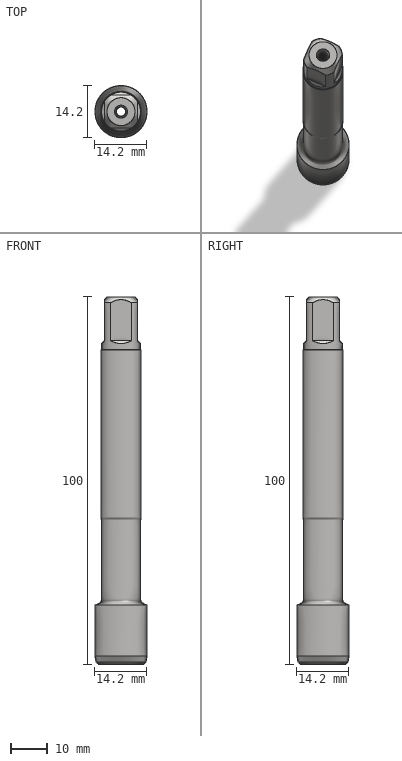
import cadquery as cq
import math

total_length = 100.0
head_diameter = 14.2

tip_height = 2.3
tip_shoulder_height = 0.7
tip_shoulder_diameter = 13.6
tip_end_diameter = 12.2
tip_bore_diameter = 2.5

shank_bore_diameter = 3.5
neck_diameter = 10.7
guide_diameter = 11.0
drive_diameter = 10.6
head_top = 16.1
head_slope_angle = math.radians(25)
neck_fillet = 1.0
guide_bottom = 39.3
guide_bottom_taper = 0.6
guide_top = 85.7
guide_top_chamfer = (guide_diameter - drive_diameter) / 2

square_width = 9.0
square_bottom = 88.1
drive_end_diameter = 7.6
drive_chamfer_height = 1.6

head_radius = head_diameter / 2
neck_radius = neck_diameter / 2
guide_radius = guide_diameter / 2
drive_radius = drive_diameter / 2


def fillet_point(angle, center_z):
    """Point of the neck fillet, at an angle above its horizontal inward radius (negative is below)."""
    return (
        neck_radius + neck_fillet - neck_fillet * math.cos(angle),
        center_z + neck_fillet * math.sin(angle),
    )


def make_turned_shank():
    fillet_sweep = math.pi / 2 - head_slope_angle
    fillet_end_radius = neck_radius + neck_fillet * (1 - math.cos(fillet_sweep))
    fillet_end_z = head_top + (head_radius - fillet_end_radius) * math.tan(head_slope_angle)
    fillet_start_z = fillet_end_z + neck_fillet * math.sin(fillet_sweep)
    return (
        cq.Workplane("XZ")
        .moveTo(0, tip_height)
        .lineTo(head_radius, tip_height)
        .lineTo(head_radius, head_top)
        .lineTo(fillet_end_radius, fillet_end_z)
        .threePointArc(fillet_point(-fillet_sweep / 2, fillet_start_z), (neck_radius, fillet_start_z))
        .lineTo(neck_radius, guide_bottom)
        .lineTo(guide_radius, guide_bottom + guide_bottom_taper)
        .lineTo(guide_radius, guide_top - guide_top_chamfer)
        .lineTo(drive_radius, guide_top)
        .lineTo(drive_radius, total_length - drive_chamfer_height)
        .lineTo(drive_end_diameter / 2, total_length)
        .lineTo(0, total_length)
        .close()
        .revolve(360, (0, 0), (0, 1))
    )


def cut_square_drive(body):
    flat_depth = drive_radius - square_width / 2
    flat_cutter = (
        cq.Workplane("XZ")
        .moveTo(square_width / 2, total_length)
        .lineTo(square_width / 2, square_bottom)
        .lineTo(drive_radius, square_bottom - flat_depth)
        .lineTo(drive_radius, total_length)
        .close()
        .extrude(drive_radius, both=True)
    )
    for side in range(4):
        body = body.cut(flat_cutter.rotate((0, 0, 0), (0, 0, 1), side * 90))
    return body


def make_shank():
    body = cut_square_drive(make_turned_shank())
    bore = cq.Workplane("XY").circle(shank_bore_diameter / 2).extrude(total_length)
    return body.cut(bore)


def make_tip():
    return (
        cq.Workplane("XZ")
        .moveTo(tip_bore_diameter / 2, 0)
        .lineTo(tip_end_diameter / 2, 0)
        .lineTo(tip_shoulder_diameter / 2, tip_shoulder_height)
        .lineTo(head_radius, tip_height)
        .lineTo(tip_bore_diameter / 2, tip_height)
        .close()
        .revolve(360, (0, 0), (0, 1))
    )


shank = make_shank()
tip = make_tip()

result = cq.Compound.makeCompound([shank.val(), tip.val()])